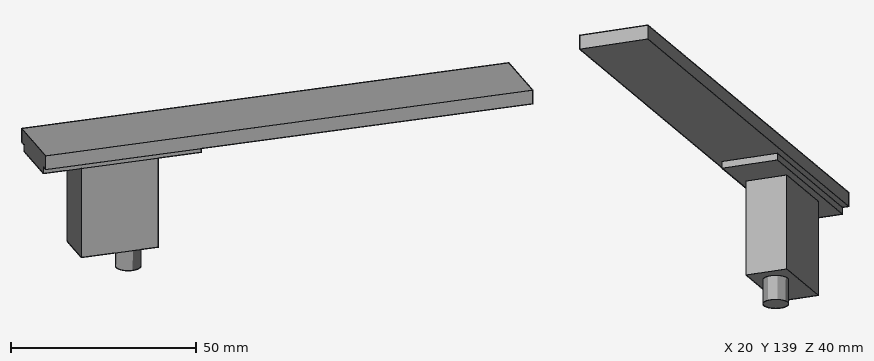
import cadquery as cq

total_length = 139.0
total_height = 40.0

bar_width = 20.0
bar_thickness = 4.0

plate_width = 16.3
plate_length = 45.0
plate_thickness = 2.0

block_width = 12.0
block_length = 22.0
block_height = 27.1
block_center_y = plate_length / 2

pin_diameter = 7.0
pin_center_y = 27.0

bar_bottom = -bar_thickness
plate_bottom = bar_bottom - plate_thickness
block_bottom = plate_bottom - block_height
pin_length = total_height + block_bottom


def slab(width, length, height, center_y, bottom):
    """Box centred on X = 0 and on center_y, rising from bottom."""
    return (
        cq.Workplane("XY", origin=(0, center_y, bottom))
        .box(width, length, height, centered=(True, True, False))
    )


bar = slab(bar_width, total_length, bar_thickness, total_length / 2, bar_bottom)
plate = slab(plate_width, plate_length, plate_thickness, plate_length / 2, plate_bottom)
block = slab(block_width, block_length, block_height, block_center_y, block_bottom)
pin = (
    cq.Workplane("XY", origin=(0, pin_center_y, -total_height))
    .circle(pin_diameter / 2)
    .extrude(pin_length)
)

result = bar.union(plate).union(block).union(pin)